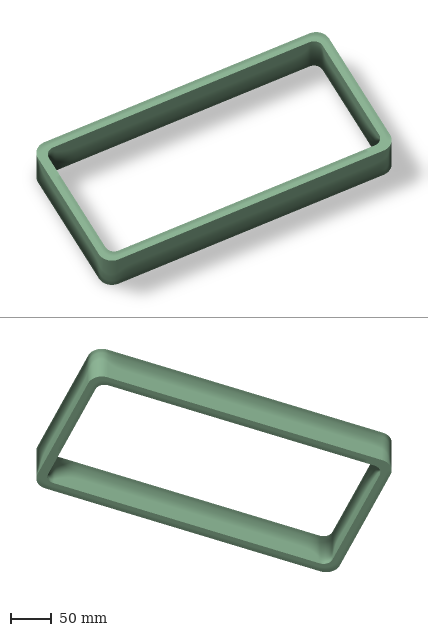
import cadquery as cq

width = 200.0
length = 400.0
height = 50.0
wall = 12.0
outer_radius = 18.0
inner_radius = 12.0


def rounded_block(size_x, size_y, corner_radius):
    """Block of the frame height with rounded vertical edges."""
    block = cq.Workplane("XY").rect(size_x, size_y).extrude(height)
    return block.edges("|Z").fillet(corner_radius)


outer = rounded_block(width, length, outer_radius)
opening = rounded_block(width - 2 * wall, length - 2 * wall, inner_radius)

result = outer.cut(opening)